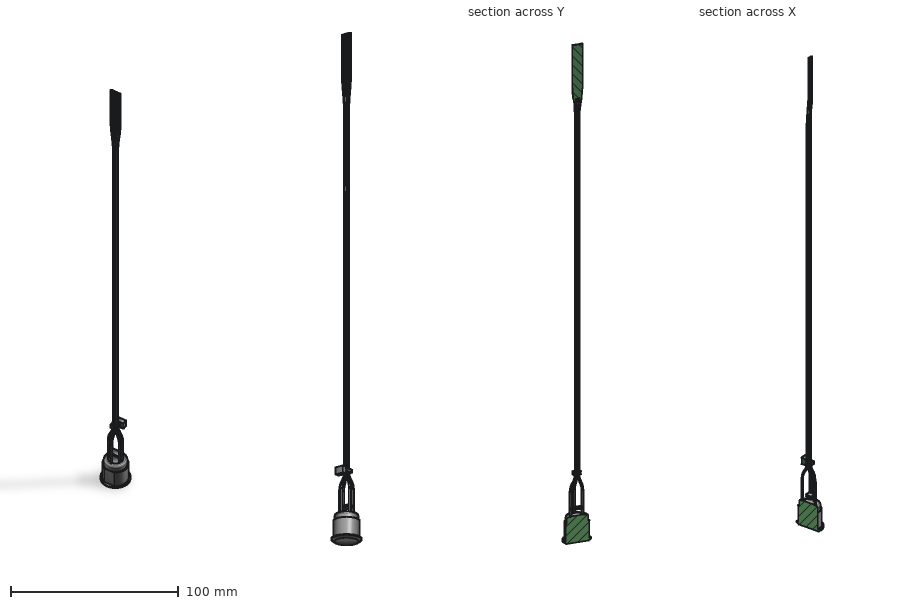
import cadquery as cq
import math

TOTAL_HEIGHT = 318.0

BASE_RADIUS = 14.5 / 2
FLANGE_RADIUS = 18.0 / 2
FLANGE_EDGE_BOTTOM = 1.3
FLANGE_TOP = 2.0
BODY_RADIUS = 8.0
BODY_TOP = 13.0
NECK_RADIUS = 14.3 / 2
FLAT_DISTANCE = NECK_RADIUS
SHOULDER_TOP = 17.2
SHOULDER_RADIUS = 11.8 / 2
BOSS_RADIUS = 9.2 / 2
BOSS_HEIGHT = 0.3
HOUSING_TOP = SHOULDER_TOP + BOSS_HEIGHT

WIRE_RADIUS = 1.2 / 2
WIRE_PITCH = 1.15
TIP_RADIUS = 1.18 / 2
TERMINAL_RADIUS = 1.4 / 2
FAN_BOTTOM = 32.5
FAN_TOP = 43.2
BUNDLE_TOP = 271.5
RIBBON_BOTTOM = 291.5
TIP_BOTTOM = 305.0
END_TERMINAL_Y = 4.8
SIDE_TERMINAL_X = 3.8
SIDE_TERMINAL_Y = 1.43

SPACER_BOTTOM = 21.0
SPACER_TOP = 22.3
SPACER_WIDTH_Y = 4.0

STRAP_HEIGHT = 2.0
STRAP_BOTTOM = FAN_TOP
STRAP_WIDTH = 4.8
HEAD_BOTTOM = 41.5
HEAD_TOP = 46.0
HEAD_MIN_X = -2.0
HEAD_MAX_X = 4.0
HEAD_MIN_Y = 2.2
HEAD_MAX_Y = 5.5

BUNDLE_OUTER_RADIUS = WIRE_PITCH + WIRE_RADIUS


def make_housing():
    """Turned connector shell with a thin flange, a rounded shoulder and one flat on its -Y side."""
    round_radius = NECK_RADIUS - SHOULDER_RADIUS
    shell = (
        cq.Workplane("XZ")
        .lineTo(BASE_RADIUS, 0)
        .lineTo(FLANGE_RADIUS, FLANGE_EDGE_BOTTOM)
        .lineTo(FLANGE_RADIUS, FLANGE_TOP)
        .lineTo(BODY_RADIUS, FLANGE_TOP)
        .lineTo(BODY_RADIUS, BODY_TOP)
        .lineTo(NECK_RADIUS, BODY_TOP)
        .lineTo(NECK_RADIUS, SHOULDER_TOP - round_radius)
        .radiusArc((SHOULDER_RADIUS, SHOULDER_TOP), -round_radius)
        .lineTo(BOSS_RADIUS, SHOULDER_TOP)
        .lineTo(BOSS_RADIUS, HOUSING_TOP)
        .lineTo(0, HOUSING_TOP)
        .close()
        .revolve(360, (0, 0, 0), (0, 1, 0))
    )
    flat_cut = (
        cq.Workplane("XY", origin=(0, 0, FLANGE_TOP))
        .rect(2 * FLANGE_RADIUS, 2 * FLANGE_RADIUS)
        .extrude(BODY_TOP - FLANGE_TOP)
        .translate((0, -FLAT_DISTANCE - FLANGE_RADIUS, 0))
    )
    return shell.cut(flat_cut)


def rod(point, bottom, top, radius):
    """Straight round length above one (x, y) point."""
    return cq.Workplane("XY", origin=(*point, bottom)).circle(radius).extrude(top - bottom)


def bend(lower_point, bottom, upper_point, top):
    """Smooth S-shaped wire length, vertical at both ends."""
    start = cq.Vector(*lower_point, bottom)
    end = cq.Vector(*upper_point, top)
    path = cq.Workplane("XY").spline([start, end], tangents=[(0, 0, 1), (0, 0, 1)])
    return cq.Workplane("XY", origin=start.toTuple()).circle(WIRE_RADIUS).sweep(path)


def make_wire(terminal, bundle, tip):
    """One wire from the housing through the fan, bundle and ribbon to its tip."""
    return (
        rod(terminal, HOUSING_TOP, FAN_BOTTOM, TERMINAL_RADIUS)
        .union(bend(terminal, FAN_BOTTOM, bundle, FAN_TOP))
        .union(rod(bundle, FAN_TOP, BUNDLE_TOP, WIRE_RADIUS))
        .union(bend(bundle, BUNDLE_TOP, tip, RIBBON_BOTTOM))
        .union(rod(tip, RIBBON_BOTTOM, TIP_BOTTOM, WIRE_RADIUS))
        .union(rod(tip, TIP_BOTTOM, TOTAL_HEIGHT, TIP_RADIUS))
    )


def make_harness():
    """All six wires and their spacer, fused where neighbouring wires meet."""
    terminals = [
        (-SIDE_TERMINAL_X, -SIDE_TERMINAL_Y),
        (-SIDE_TERMINAL_X, SIDE_TERMINAL_Y),
        (0, -END_TERMINAL_Y),
        (0, END_TERMINAL_Y),
        (SIDE_TERMINAL_X, -SIDE_TERMINAL_Y),
        (SIDE_TERMINAL_X, SIDE_TERMINAL_Y),
    ]
    bundle_angles = [210, 150, 270, 90, 330, 30]
    ribbon_middle = (len(terminals) - 1) / 2
    harness = (
        cq.Workplane("XY", origin=(0, 0, SPACER_BOTTOM))
        .rect(2 * SIDE_TERMINAL_X, SPACER_WIDTH_Y)
        .extrude(SPACER_TOP - SPACER_BOTTOM)
    )
    for index, (terminal, degrees) in enumerate(zip(terminals, bundle_angles)):
        angle = math.radians(degrees)
        bundle = (WIRE_PITCH * math.cos(angle), WIRE_PITCH * math.sin(angle))
        tip = (WIRE_PITCH * (index - ribbon_middle), 0)
        harness = harness.union(make_wire(terminal, bundle, tip))
    return harness


def make_cable_tie():
    """Square strap around the bundle with a block-shaped head on its +Y side."""
    strap = (
        cq.Workplane("XY", origin=(0, 0, STRAP_BOTTOM))
        .rect(STRAP_WIDTH, STRAP_WIDTH)
        .extrude(STRAP_HEIGHT)
    )
    head = (
        cq.Workplane("XY")
        .box(HEAD_MAX_X - HEAD_MIN_X, HEAD_MAX_Y - HEAD_MIN_Y, HEAD_TOP - HEAD_BOTTOM, centered=False)
        .translate((HEAD_MIN_X, HEAD_MIN_Y, HEAD_BOTTOM))
    )
    opening = rod((0, 0), STRAP_BOTTOM, STRAP_BOTTOM + STRAP_HEIGHT, BUNDLE_OUTER_RADIUS)
    return strap.union(head).cut(opening)


housing = make_housing()
harness = make_harness()
cable_tie = make_cable_tie()
result = cq.Compound.makeCompound([housing.val(), harness.val(), cable_tie.val()])